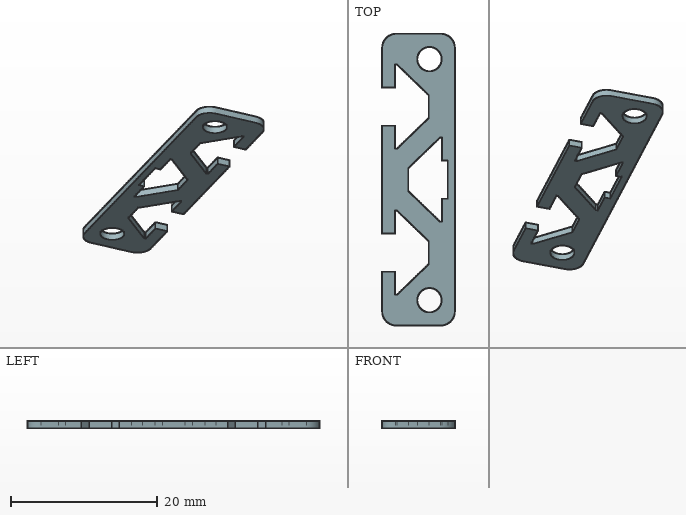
import cadquery as cq

WIDTH = 10.0
LENGTH = 40.0
THICKNESS = 1.0
CORNER_RADIUS = 2.0

SLOT_PITCH = 10.0
SLOT_DEPTH = 6.4
LIP_THICKNESS = 1.8
MOUTH_WIDTH = 5.2
CAVITY_WIDTH = 11.5
FLOOR_WIDTH = 3.1
SHOULDER_LENGTH = 0.25
CLOSED_WALL = 1.0

HOLE_DIAMETER = 3.3
HOLE_X = 1.5
HOLE_Y = 16.5


def make_plate():
    """Flat bar with rounded vertical corners."""
    plate = cq.Workplane("XY").box(WIDTH, LENGTH, THICKNESS, centered=(True, True, False))
    return plate.edges("|Z").fillet(CORNER_RADIUS)


def make_slot(center_y, facing, mouth_start):
    """T-slot cutter; facing is -1 for the -X edge and +1 for the +X edge."""

    def point(depth, offset):
        return (facing * (WIDTH / 2 - depth), center_y + offset)

    shoulder_depth = LIP_THICKNESS + SHOULDER_LENGTH
    half_profile = [
        (mouth_start, MOUTH_WIDTH / 2),
        (LIP_THICKNESS, MOUTH_WIDTH / 2),
        (LIP_THICKNESS, CAVITY_WIDTH / 2),
        (shoulder_depth, CAVITY_WIDTH / 2),
        (SLOT_DEPTH, FLOOR_WIDTH / 2),
    ]
    upper_side = [point(depth, offset) for depth, offset in half_profile]
    lower_side = [point(depth, -offset) for depth, offset in reversed(half_profile)]
    return cq.Workplane("XY").polyline(upper_side + lower_side).close().extrude(THICKNESS)


def make_holes():
    """Cutters for the two screw holes."""
    centers = [(HOLE_X, HOLE_Y), (HOLE_X, -HOLE_Y)]
    return cq.Workplane("XY").pushPoints(centers).circle(HOLE_DIAMETER / 2).extrude(THICKNESS)


result = make_plate().cut(make_holes())

for slot_y in (-SLOT_PITCH, SLOT_PITCH):
    result = result.cut(make_slot(slot_y, facing=-1, mouth_start=0.0))

result = result.cut(make_slot(0.0, facing=1, mouth_start=CLOSED_WALL))